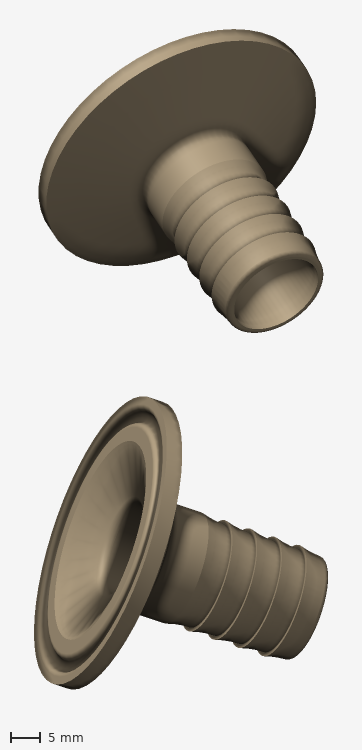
import cadquery as cq
import math

length = 38.1
bore_radius = 15.65 / 2

flange_radius = 50.4 / 2
rim_width = 2.85
back_cone_slope = math.radians(70)

shank_radius = 19.5 / 2
shank_fillet = 1.5
shank_end = 15.3

barb_count = 5
barb_pitch = 4.6
waist_radius = 9.05
tip_fillet = 0.75

groove_center_radius = 21.8
groove_half_width = 1.95
groove_lip_radius = 0.9
groove_floor_radius = 1.15
groove_wall_angle = math.radians(65)

mouth_radius = 17.4
mouth_throat_fillet = 1.5
mouth_slope = math.radians(67)


def spin(outline):
    """Close an outline drawn as (x, radius) and revolve it about the X axis."""
    return outline.close().revolve(360, (0, 0, 0), (1, 0, 0))


def fillet_points(start_x, start_radius, slope, fillet_radius, end_radius):
    """Start, middle and end of the arc blending a narrowing cone into a cylinder."""
    cone_end_radius = end_radius + fillet_radius * (1 - math.cos(slope))
    cone_end_x = start_x + (start_radius - cone_end_radius) / math.tan(slope)
    arc_end_x = cone_end_x + fillet_radius * math.sin(slope)
    middle = (
        arc_end_x - fillet_radius * math.sin(slope / 2),
        end_radius + fillet_radius * (1 - math.cos(slope / 2)),
    )
    return (cone_end_x, cone_end_radius), middle, (arc_end_x, end_radius)


def add_barb(outline, start_x, end_x):
    """Rise to the barb crest, then follow the concave arc down to the waist."""
    drop = shank_radius - waist_radius
    run = end_x - start_x
    arc_radius = (run**2 + drop**2) / (2 * drop)
    half_angle = math.asin(run / arc_radius) / 2
    middle = (
        end_x - arc_radius * math.sin(half_angle),
        waist_radius + arc_radius * (1 - math.cos(half_angle)),
    )
    if start_x > shank_end:
        outline = outline.lineTo(start_x, shank_radius)
    return outline.threePointArc(middle, (end_x, waist_radius))


def make_body():
    """Solid of revolution: flange, back cone, shank and barbs."""
    cone_end, fillet_middle, fillet_end = fillet_points(
        rim_width, flange_radius, back_cone_slope, shank_fillet, shank_radius
    )
    outline = (
        cq.Workplane("XY")
        .lineTo(0, flange_radius)
        .lineTo(rim_width, flange_radius)
        .lineTo(*cone_end)
        .threePointArc(fillet_middle, fillet_end)
        .lineTo(shank_end, shank_radius)
    )
    start_x = shank_end
    for barb in range(barb_count):
        end_x = length - (barb_count - 1 - barb) * barb_pitch
        outline = add_barb(outline, start_x, end_x)
        start_x = end_x
    body = spin(outline.lineTo(length, 0))
    return body.faces(">X").edges().fillet(tip_fillet)


def make_bore():
    """Through bore with a conical mouth blended into it."""
    cone_end, fillet_middle, fillet_end = fillet_points(
        0, mouth_radius, mouth_slope, mouth_throat_fillet, bore_radius
    )
    outline = (
        cq.Workplane("XY")
        .lineTo(0, mouth_radius)
        .lineTo(*cone_end)
        .threePointArc(fillet_middle, fillet_end)
        .lineTo(length, bore_radius)
        .lineTo(length, 0)
    )
    return spin(outline)


def make_groove():
    """Ring groove: rounded lips, short straight walls and a round floor."""
    sine = math.sin(groove_wall_angle)
    cosine = math.cos(groove_wall_angle)
    half_sine = math.sin(groove_wall_angle / 2)
    half_cosine = math.cos(groove_wall_angle / 2)

    lip_end = groove_half_width - groove_lip_radius * sine
    lip_middle = groove_half_width - groove_lip_radius * half_sine
    floor_end = groove_floor_radius * sine
    lip_depth = groove_lip_radius * (1 - cosine)
    lip_middle_depth = groove_lip_radius * (1 - half_cosine)
    wall_depth = lip_depth + (lip_end - floor_end) * math.tan(groove_wall_angle)
    floor_depth = wall_depth + groove_floor_radius * (1 - cosine)

    inner, outer = -1, 1

    def at(depth, offset, side):
        return depth, groove_center_radius + side * offset

    outline = (
        cq.Workplane("XY")
        .moveTo(*at(0, groove_half_width, inner))
        .threePointArc(at(lip_middle_depth, lip_middle, inner), at(lip_depth, lip_end, inner))
        .lineTo(*at(wall_depth, floor_end, inner))
        .threePointArc(at(floor_depth, 0, outer), at(wall_depth, floor_end, outer))
        .lineTo(*at(lip_depth, lip_end, outer))
        .threePointArc(at(lip_middle_depth, lip_middle, outer), at(0, groove_half_width, outer))
    )
    return spin(outline)


result = make_body().cut(make_bore()).cut(make_groove())